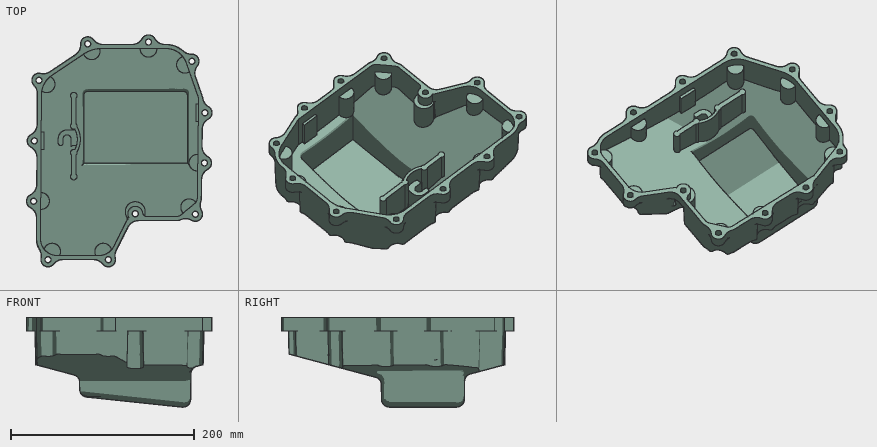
import cadquery as cq
import math


flange_thickness = 15.0
wall_thickness = 4.5
wall_draft = 1.5
rib_top = -13.0

wall_corners = [
    ((-89.3, 77.1), 30.4),
    ((-31.0, 116.0), 38),
    ((70.8, 116.0), 27.8),
    ((91.0, 58.2), 0),
    ((89.5, -57.2), 12.6),
    ((66.8, -76.1), 12.6),
    ((13.2, -76.1), 0),
    ((-8.0, -118.5), 22.8),
    ((-90.5, -118.5), 22.8),
]

bolt_hole_diameter = 6.3
lug_radius = 7.8
lug_blend_radius = 12.6
scallop_radius = 8.0
scallop_blend_radius = 3.8
pillar_radius = 9.0

bolts_with_pillar = [
    ((-87.5, 77.0), (-79.2, 72.5)),
    ((-34.5, 116.5), (-30.0, 108.5)),
    ((31.9, 118.5), (31.9, 111.3)),
    ((79.2, 97.6), (71.5, 93.8)),
    ((92.8, -13.2), (85.2, -13.0)),
    ((83.0, -69.0), (76.1, -61.5)),
    ((-12.0, -118.5), (-17.5, -109.8)),
    ((-77.6, -118.5), (-73.0, -109.8)),
    ((-93.3, -55.0), (-85.2, -54.6)),
]
left_pad_bolt = (-92.5, 11.0)
right_pad_bolt = (93.3, 41.5)
inner_bolt = (17.5, -68.5)
inner_ring_radius = 8.0
inner_ring_blend_radius = 5.0
inner_pillar_center = (17.5, -66.3)
inner_pillar_radius = 11.0

bolts = [bolt for bolt, _ in bolts_with_pillar] + [left_pad_bolt, right_pad_bolt, inner_bolt]

pad_length = 19.0
left_pad_face_x = -82.0
right_pad_face_x = 83.5
pad_root_x = 101.2

slope = math.tan(math.radians(15))
eave_half_width = 91.0
eave_front_y = -75.4
eave_back_y = 116.9
eave_depth = 51.5
floor_axis = (0.0, 27.5)
floor_apex_depth = 68.8
floor_reach = 227.6

sump_left, sump_right = -43.5, 78.5
sump_front, sump_back = -18.2, 73.0
sump_wall_inset = 0.8
sump_bottom_tilt = math.tan(math.radians(6))
sump_low_x = 68.5
sump_low_depth = 98.0
sump_edge_radius = 8.9
sump_neck_radius = 7.5
sump_corner_level = -83.5

well_left, well_right = -38.5, 74.4
well_front, well_back = -13.5, 64.8
well_draft = 2.0
well_corner_radius = 4.5
well_rim_radius = 1.8
well_rim_levels = (-60.7, -43.0)
well_flat_depth = 86.0
well_depth = 55.6
well_flat_start_x = 12.6

baffle_x = -49.5
baffle_width = 5.0
baffle_upper_y = (60.2, 27.0)
baffle_lower_y = (-2.0, -28.0)
baffle_end_radius = 3.5
bow_width = 3.3
bow_start_x = -48.5
bow_tip_x = -44.0

hook_center = (-57.0, 13.2)
hook_outer_radius = 9.5
hook_inner_radius = 4.3
hook_bottom_y = 5.8
hook_top = -30.4

below_all = -113.8
prism_reach = 303.5


def disc(center, radius, z_low, z_high):
    """Upright cylinder between two levels."""
    return (cq.Workplane("XY", origin=(center[0], center[1], z_low))
            .circle(radius).extrude(z_high - z_low))


def block(x_range, y_range, z_low, z_high):
    """Box between two limits along each axis."""
    return (cq.Workplane("XY", origin=(sum(x_range) / 2, sum(y_range) / 2, z_low))
            .rect(x_range[1] - x_range[0], y_range[1] - y_range[0])
            .extrude(z_high - z_low))


def near(point):
    """Selector for the item nearest to a point."""
    return cq.selectors.NearestToPointSelector(point)


def outline_of(plate):
    """Workplane holding a plate's top outline, ready to offset or extrude."""
    outline = plate.faces(">Z").wires().val()
    return cq.Workplane("XY").add(outline).toPending()


def wall_plate():
    """Unit-thick plate bounded by the outer wall line, with rounded corners, top at Z = 0."""
    points = [point for point, _ in wall_corners]
    plate = cq.Workplane("XY").workplane(offset=-2.5).polyline(points).close().extrude(2.5)
    for (x, y), radius in wall_corners:
        if radius:
            plate = plate.edges(near((x, y, -1.3))).fillet(radius)
    return plate


def flange_plate():
    """Unit-thick plate with the flange outline: wall line plus lugs blended into it."""
    plate = wall_plate()
    for bolt in bolts:
        plate = plate.union(disc(bolt, lug_radius, -2.5, 0))
    grown = outline_of(plate).offset2D(lug_blend_radius).extrude(-2.5)
    return outline_of(grown).offset2D(-lug_blend_radius).extrude(-2.5)


def flange():
    return outline_of(flange_plate()).extrude(-flange_thickness)


def scalloped_wall():
    """Drafted block inside the outer wall surface, relieved around every bolt."""
    plate = flange_plate()
    for bolt in bolts:
        plate = plate.cut(disc(bolt, scallop_radius, -2.5, 0))
    x, y = inner_bolt
    plate = plate.cut(block((x - scallop_radius, x + scallop_radius), (wall_corners[7][0][1], y), -2.5, 0))
    shrunk = outline_of(plate).offset2D(-scallop_blend_radius).extrude(-2.5)
    rounded = outline_of(shrunk).offset2D(scallop_blend_radius).extrude(-2.5)
    return (outline_of(rounded.translate((0, 0, -flange_thickness)))
            .extrude(below_all, taper=wall_draft))


def stepped_prism(plane, eaves, sump_walls):
    """Long prism: slopes fall inward from two eaves, then plunge into the sump between its walls.

    The profile lies in the given plane and is swept both ways along that plane's normal.
    """
    eave_low, eave_high = eaves
    wall_low, wall_high = sump_walls
    neck_low = -eave_depth - slope * (wall_low - eave_low)
    neck_high = -eave_depth - slope * (eave_high - wall_high)
    run = eave_depth / slope
    inset = sump_wall_inset
    prism = (cq.Workplane(plane)
             .polyline([(eave_low - run, 0), (wall_low, neck_low), (wall_low + inset, below_all),
                        (wall_high - inset, below_all), (wall_high, neck_high), (eave_high + run, 0)])
             .close().extrude(prism_reach, both=True))
    for x, z in ((wall_low, neck_low), (wall_high, neck_high)):
        corner = cq.Workplane(plane).plane.toWorldCoords((x, z))
        prism = prism.edges(near(corner.toTuple())).fillet(sump_neck_radius)
    return prism


def below_sump():
    """Everything under the tilted sump bottom."""
    def bottom(x):
        return -sump_low_depth - sump_bottom_tilt * (x - sump_low_x)

    low_x, high_x = sump_left - 2.5, sump_right + 2.5
    return (cq.Workplane("XZ")
            .polyline([(low_x, bottom(low_x)), (high_x, bottom(high_x)),
                       (high_x, below_all - 2.5), (low_x, below_all - 2.5)])
            .close().extrude(prism_reach, both=True))


def outer_shell():
    """Filled outside of the pan below the flange: where both prisms overlap, inside the wall."""
    across = stepped_prism("XZ", (-eave_half_width, eave_half_width), (sump_left, sump_right))
    along = stepped_prism("YZ", (eave_front_y, eave_back_y), (sump_front, sump_back))
    core = across.intersect(along).cut(below_sump())
    for y in (sump_front, sump_back):
        core = core.edges(near((sump_right, y, sump_corner_level))).fillet(sump_edge_radius)
    core = core.faces("<Z").edges().fillet(sump_edge_radius)
    return core.intersect(scalloped_wall())


def above_floor():
    """Everything above the conical floor."""
    return (cq.Workplane("XZ", origin=(*floor_axis, 0))
            .polyline([(0, -floor_apex_depth), (floor_reach, slope * floor_reach - floor_apex_depth),
                       (floor_reach, 2.5), (0, 2.5)])
            .close().revolve(360, (0, 0), (0, 1)))


def well():
    """Room inside the sump: slightly flared, with a bottom that is flat on the right."""
    width, length = well_right - well_left, well_back - well_front
    center = ((well_left + well_right) / 2, (well_front + well_back) / 2)
    flare = 2 * well_depth * math.tan(math.radians(well_draft))
    body = (cq.Workplane("XY", origin=(*center, well_depth - well_flat_depth))
            .rect(width + flare, length + flare).extrude(-well_depth, taper=well_draft))
    for x in (well_left, well_right):
        body = body.edges(near((x, well_back, well_depth / 2 - well_flat_depth))).fillet(well_corner_radius)
    rise = sump_bottom_tilt * (well_flat_start_x - well_left)
    wedge = (cq.Workplane("XZ", origin=(0, well_back, 0))
             .polyline([(well_left, -well_flat_depth), (well_flat_start_x, -well_flat_depth),
                        (well_left, rise - well_flat_depth)])
             .close().extrude(length))
    return body.cut(wedge)


def cavity():
    """Open room of the pan, with the well's rim rounded into the floor."""
    plate = outline_of(wall_plate()).offset2D(-wall_thickness).extrude(-2.5)
    plate = plate.cut(disc(inner_bolt, inner_ring_radius, -2.5, 0))
    ring_box = cq.selectors.BoxSelector(
        (inner_bolt[0], inner_bolt[1] - 10, -5), (inner_bolt[0] + 10, inner_bolt[1] + 10, 2.5))
    plate = plate.edges("|Z").edges(ring_box).fillet(inner_ring_blend_radius)
    room = outline_of(plate).extrude(below_all)
    room = room.intersect(above_floor()).union(well())
    rim_low, rim_high = well_rim_levels
    rim = room.edges(cq.selectors.BoxSelector(
        (well_left - 2.5, well_front - 2.5, rim_low), (well_right + 2.5, well_back + 2.5, rim_high)))
    rim = rim.filter(lambda edge: abs(edge.tangentAt(0.5).z) < 0.5)
    return rim.fillet(well_rim_radius)


def build_housing():
    room = cavity()
    for _, center in bolts_with_pillar:
        room = room.cut(disc(center, pillar_radius, below_all, rib_top))
    room = room.cut(disc(inner_pillar_center, inner_pillar_radius, below_all, rib_top))
    pads = (((-pad_root_x, left_pad_face_x), left_pad_bolt), ((right_pad_face_x, pad_root_x), right_pad_bolt))
    for x_range, bolt in pads:
        y_range = (bolt[1] - pad_length / 2, bolt[1] + pad_length / 2)
        room = room.cut(block(x_range, y_range, below_all, rib_top))
    body = flange().union(outer_shell()).cut(room)
    for bolt in bolts:
        body = body.cut(disc(bolt, bolt_hole_diameter / 2, -flange_thickness, 0))
    return body


def build_baffle():
    """Two straight legs with round ends, joined by a bow, standing on the floor."""
    half = baffle_width / 2
    y_high, y_low = baffle_upper_y[1], baffle_lower_y[0]
    body = (cq.Workplane("XY").workplane(offset=below_all)
            .moveTo(bow_start_x, y_high)
            .threePointArc((bow_tip_x, (y_high + y_low) / 2), (bow_start_x, y_low))
            .offset2D(bow_width / 2).extrude(rib_top - below_all))
    for leg_high, leg_low in (baffle_upper_y, baffle_lower_y):
        body = body.union(block((baffle_x - half, baffle_x + half), (leg_low, leg_high), below_all, rib_top))
        for y in (leg_high, leg_low):
            body = body.union(disc((baffle_x, y), baffle_end_radius, below_all, rib_top))
    return body.intersect(above_floor())


def build_hook(baffle):
    """Hook that curls away from the baffle's bow and ends in a round tip."""
    x, y = hook_center
    left_x = x - hook_outer_radius
    tip_radius = (hook_outer_radius - hook_inner_radius) / 2
    tip = (left_x + tip_radius, hook_bottom_y + tip_radius)
    root_x = bow_tip_x - bow_width / 2
    body = disc(hook_center, hook_outer_radius, below_all, hook_top)
    body = body.union(block((x, root_x), (hook_bottom_y, y + hook_outer_radius), below_all, hook_top))
    body = body.cut(disc(hook_center, hook_inner_radius, below_all, hook_top))
    mouth_low_y = y - 2 * hook_outer_radius
    body = body.cut(block((left_x, x + hook_inner_radius), (mouth_low_y, y), below_all, hook_top))
    body = body.union(block((left_x, x - hook_inner_radius), (tip[1], y), below_all, hook_top))
    body = body.union(disc(tip, tip_radius, below_all, hook_top))
    return body.intersect(above_floor()).cut(baffle)


housing = build_housing()
baffle = build_baffle()
hook = build_hook(baffle)

result = cq.Compound.makeCompound([*housing.vals(), *baffle.vals(), *hook.vals()])